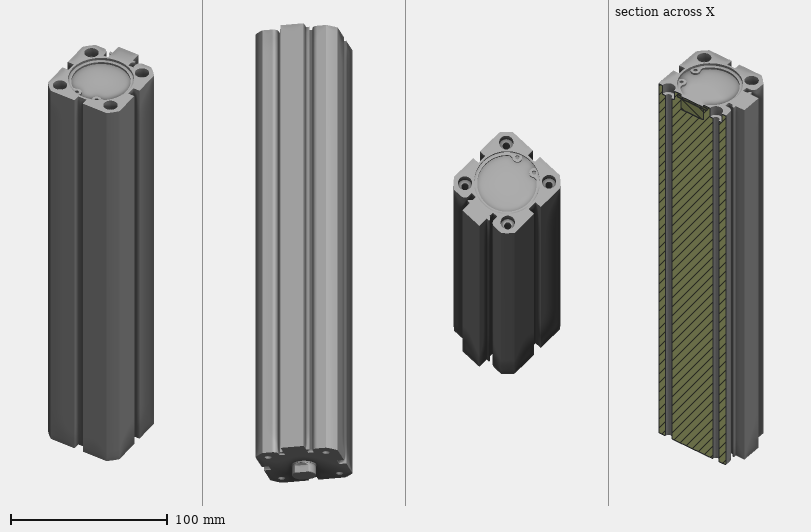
import cadquery as cq

overall_length = 296.0
rod_stickout = 7.0
body_width = 54.0
corner_radius = 34.0

bore_radius = 21.0
ring_depth = 1.8
ring_thickness = 1.5
cap_thickness = 9.0

slot_width = 6.2
slot_floor_span = 44.7

rail_width = 15.0
rail_height = 6.2
channel_width = 22.5
channel_floor = 20.7
channel_round = 3.5
barb_reach = 2.0
barb_height = 26.3
barb_edge = 1.0
barb_slope = 1.8

bolt_offset = 19.0
bolt_radius = 2.5
counterbore_diameter = 9.2
counterbore_depth = 7.0

ring_inner_radius = 19.0
ring_outer_radius = 22.2
ear_x = 7.5
ear_y = -17.2
ear_diameter = 6.2
ear_hole_radius = 1.33
ear_web_top = -14.8

rod_radius = 8.0
collar_height = 1.0
rod_end_radius = 7.7
rod_seat_depth = 14.8
flat_width = 12.7
flat_runout = 1.5
rod_chamfer = 0.3

half_width = body_width / 2
body_length = overall_length - rod_stickout
bottom_z = rod_stickout
top_z = overall_length
ring_top_z = top_z - ring_depth
cap_top_z = ring_top_z - ring_thickness
cap_bottom_z = cap_top_z - cap_thickness
slot_depth = (body_width - slot_floor_span) / 2
rail_half = rail_width / 2
channel_half = channel_width / 2


def body_blank():
    """Square bar with its four corners turned to a circle."""
    bar = cq.Workplane("XY", origin=(0, 0, bottom_z)).rect(body_width, body_width).extrude(body_length)
    turned = cq.Workplane("XY", origin=(0, 0, bottom_z)).circle(corner_radius).extrude(body_length)
    return bar.intersect(turned)


def sensor_slots():
    """Long slots in the +X, -X and -Y sides."""
    slots = cq.Workplane("XY")
    for angle in (0, 180, 270):
        slot = (
            cq.Workplane("XY")
            .box(2 * slot_depth, slot_width, body_length, centered=(True, True, False))
            .translate((half_width, 0, bottom_z))
            .rotate((0, 0, 0), (0, 0, 1), angle)
        )
        slots = slots.add(slot)
    return slots.combine()


def rail_channel():
    """Channel in the +Y side, with rounded mouth edges."""
    return (
        cq.Workplane("XY", origin=(0, 0, bottom_z))
        .moveTo(-channel_half, channel_floor)
        .lineTo(channel_half, channel_floor)
        .lineTo(channel_half, half_width - channel_round)
        .radiusArc((channel_half + channel_round, half_width), channel_round)
        .lineTo(-channel_half - channel_round, half_width)
        .radiusArc((-channel_half, half_width - channel_round), channel_round)
        .close()
        .extrude(body_length)
    )


def mounting_rail():
    """Rail on the +Y side, with a barb along each flank."""
    tip_x = rail_half + barb_reach
    root_y = barb_height - barb_edge - barb_slope
    right_side = [
        (rail_half, channel_floor),
        (rail_half, root_y),
        (tip_x, barb_height - barb_edge),
        (tip_x, barb_height),
        (rail_half, barb_height),
        (rail_half, half_width + rail_height),
    ]
    left_side = [(-x, y) for x, y in reversed(right_side)]
    outline = right_side + left_side
    return cq.Workplane("XY", origin=(0, 0, bottom_z)).polyline(outline).close().extrude(body_length)


def rod_solid():
    """Round rod with two wrench flats on the part that sticks out."""
    end_length = rod_stickout - collar_height
    rod = (
        cq.Workplane("XY")
        .circle(rod_end_radius)
        .extrude(end_length)
        .faces("<Z")
        .chamfer(rod_chamfer)
        .faces(">Z")
        .workplane()
        .circle(rod_radius)
        .extrude(collar_height + rod_seat_depth)
    )
    flat_y = flat_width / 2
    for side in (-1, 1):
        cutter = (
            cq.Workplane("YZ")
            .polyline([
                (side * flat_y, 0),
                (side * flat_y, end_length - flat_runout),
                (side * rod_end_radius, end_length),
                (side * rod_end_radius, 0),
            ])
            .close()
            .extrude(rod_radius, both=True)
        )
        rod = rod.cut(cutter)
    return rod


def housing_solid():
    """Profiled body with a stepped top recess, a rod hole and four counterbored bolt holes."""
    housing = body_blank().cut(rail_channel()).union(mounting_rail()).cut(sensor_slots())
    recess_depth = top_z - cap_bottom_z
    top_recess = cq.Workplane("XY", origin=(0, 0, cap_bottom_z)).circle(bore_radius).extrude(recess_depth)
    groove = cq.Workplane("XY", origin=(0, 0, cap_top_z)).circle(ring_outer_radius).extrude(ring_thickness)
    rod_hole = cq.Workplane("XY", origin=(0, 0, bottom_z)).circle(rod_radius).extrude(rod_seat_depth)
    bolt_holes = (
        cq.Workplane("XY", origin=(0, 0, top_z))
        .rect(2 * bolt_offset, 2 * bolt_offset, forConstruction=True)
        .vertices()
    )
    through = bolt_holes.circle(bolt_radius).extrude(-body_length)
    counterbores = bolt_holes.circle(counterbore_diameter / 2).extrude(-counterbore_depth)
    return housing.cut(top_recess).cut(groove).cut(rod_hole).cut(through).cut(counterbores)


def head_cap_solid():
    """Disc that closes the top recess under the retaining ring."""
    return cq.Workplane("XY", origin=(0, 0, cap_bottom_z)).circle(bore_radius).extrude(cap_thickness)


def retaining_ring_solid():
    """Open ring with a pierced ear at each side of its gap."""
    plane = cq.Workplane("XY", origin=(0, 0, cap_top_z))
    disc = plane.circle(ring_outer_radius).extrude(ring_thickness)
    band = disc.cut(plane.circle(ring_inner_radius).extrude(ring_thickness))
    gap = plane.center(0, -ring_outer_radius).rect(2 * ear_x, ring_outer_radius).extrude(ring_thickness)
    ring = band.cut(gap)
    web_height = ear_web_top + ring_outer_radius
    for side in (-1, 1):
        web = (
            plane.center(side * (ear_x + ring_outer_radius / 2), ear_web_top - web_height / 2)
            .rect(ring_outer_radius, web_height)
            .extrude(ring_thickness)
        )
        ear = plane.center(side * ear_x, ear_y).circle(ear_diameter / 2).extrude(ring_thickness)
        hole = plane.center(side * ear_x, ear_y).circle(ear_hole_radius).extrude(ring_thickness)
        ring = ring.union(web.union(ear).intersect(disc)).cut(hole)
    return ring


housing = housing_solid()
head_cap = head_cap_solid()
retaining_ring = retaining_ring_solid()
piston_rod = rod_solid()

result = cq.Compound.makeCompound([
    housing.solids().val(),
    head_cap.solids().val(),
    retaining_ring.solids().val(),
    piston_rod.solids().val(),
])